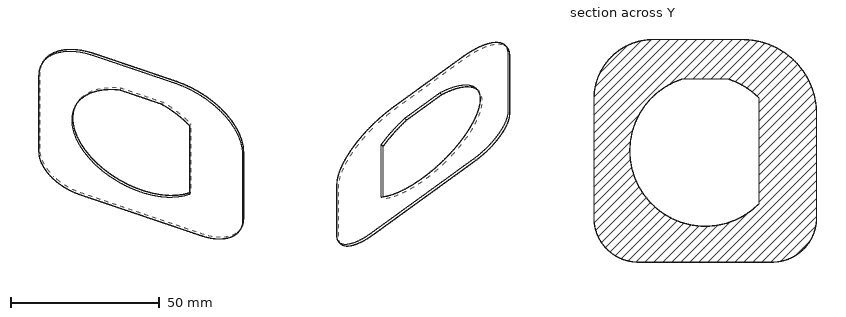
import cadquery as cq

side = 75.0
thickness = 1.0
top_left_radius = 20.0
top_right_radius = 25.0
bottom_radius = 15.0

opening_radius = 25.35
right_flat_offset = 18.0
top_flat_offset = 24.15


def make_plate():
    """Square plate with its four corners rounded."""
    plate = cq.Workplane("XY").box(side, thickness, side)
    plate = plate.edges("|Y and <Z").fillet(bottom_radius)
    plate = plate.edges("|Y and >Z and <X").fillet(top_left_radius)
    return plate.edges("|Y and >Z and >X").fillet(top_right_radius)


def make_opening():
    """Round cutter trimmed flat on its right and top sides."""
    cylinder = cq.Workplane("XZ").circle(opening_radius).extrude(thickness, both=True)
    width = opening_radius + right_flat_offset
    height = opening_radius + top_flat_offset
    trim = (
        cq.Workplane("XY")
        .box(width, 2 * thickness, height)
        .translate((right_flat_offset - width / 2, 0, top_flat_offset - height / 2))
    )
    return cylinder.intersect(trim)


result = make_plate().cut(make_opening())